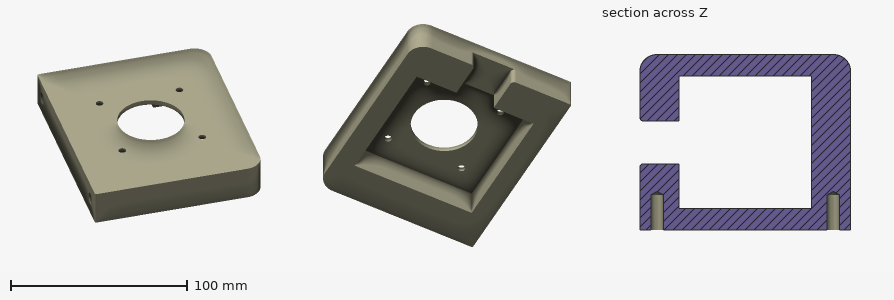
import cadquery as cq

length = 120.0
width = length * 5 / 6
height = length / 6
rear_corner_radius = length / 12
front_corner_radius = 1.0

face_thickness = 3.0
pocket_side = 75.0
pocket_depth = height - face_thickness

bore_diameter = 38.2
screw_diameter = 4.3
screw_spacing = 47.2

slot_width = 24.0
slot_height = 11.0
slot_mouth_radius = 2.4

drill_diameter = 6.8
drill_depth = 20.0
drill_spacing = length - 2 * rear_corner_radius
drill_tip_height = drill_diameter / 2 / 3**0.5


def make_block():
    block = cq.Workplane("XY").box(length, width, height, centered=(True, True, False))
    block = block.edges("|Z and >Y").fillet(rear_corner_radius)
    return block.edges("|Z and <Y").fillet(front_corner_radius)


def make_pocket():
    return cq.Workplane("XY").rect(pocket_side, pocket_side).extrude(pocket_depth)


def make_face_holes():
    bore = cq.Workplane("XY").circle(bore_diameter / 2).extrude(height)
    screws = (
        cq.Workplane("XY")
        .rect(screw_spacing, screw_spacing, forConstruction=True)
        .vertices()
        .circle(screw_diameter / 2)
        .extrude(height)
    )
    return bore.union(screws)


def make_slot():
    """Straight slot whose outer end flares with convex rounded mouth edges."""
    outer_x = -length / 2
    straight_x = outer_x + slot_mouth_radius
    half_width = slot_width / 2
    mouth_half_width = half_width + slot_mouth_radius
    arc_offset = slot_mouth_radius * (1 - 0.5**0.5)
    return (
        cq.Workplane("XY")
        .moveTo(0, half_width)
        .lineTo(straight_x, half_width)
        .threePointArc((outer_x + arc_offset, half_width + arc_offset), (outer_x, mouth_half_width))
        .lineTo(outer_x, -mouth_half_width)
        .threePointArc((outer_x + arc_offset, -half_width - arc_offset), (straight_x, -half_width))
        .lineTo(0, -half_width)
        .close()
        .extrude(slot_height)
    )


def make_drilled_hole(x):
    """Hole along +Y from the front side, ending in a conical point."""
    radius = drill_diameter / 2
    return (
        cq.Workplane("XY")
        .polyline([(0, 0), (radius, 0), (radius, drill_depth), (0, drill_depth + drill_tip_height)])
        .close()
        .revolve(360, (0, 0, 0), (0, 1, 0))
        .translate((x, -width / 2, height / 2))
    )


result = make_block().cut(make_pocket()).cut(make_face_holes()).cut(make_slot())
for drill_x in (-drill_spacing / 2, drill_spacing / 2):
    result = result.cut(make_drilled_hole(drill_x))